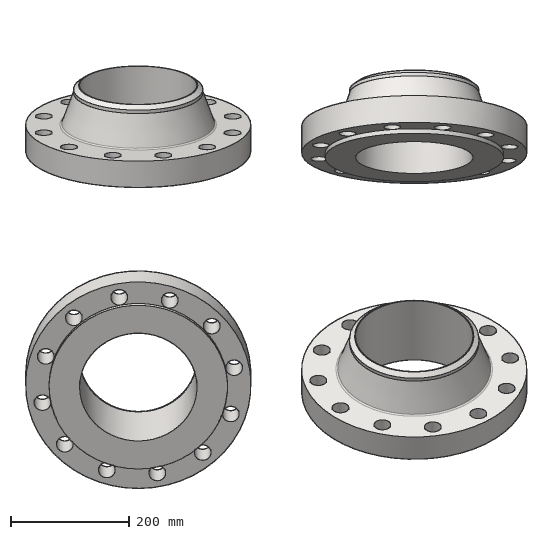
import cadquery as cq
import math

flange_diameter = 381.0
flange_thickness = 47.2
total_height = 125.5

face_diameter = 301.5
face_height = 8.0

hub_base_diameter = 260.0
hub_fillet_radius = 3.0
neck_diameter = 219.0
neck_straight_height = 6.0

bore_diameter = 198.5
land_width = 1.5
bevel_angle = 37.5

bolt_count = 12
bolt_circle_diameter = 330.2
bolt_hole_diameter = 28.0

flange_radius = flange_diameter / 2
face_radius = face_diameter / 2
hub_base_radius = hub_base_diameter / 2
neck_radius = neck_diameter / 2
bore_radius = bore_diameter / 2
land_radius = bore_radius + land_width
bevel_height = (neck_radius - land_radius) * math.tan(math.radians(bevel_angle))
flange_top = face_height + flange_thickness
bevel_bottom = total_height - bevel_height
taper_top = bevel_bottom - neck_straight_height


def make_fillet_points():
    """Return the start, middle and end of the fillet arc between flange top and hub taper."""
    lean = math.atan2(hub_base_radius - neck_radius, taper_top - flange_top)
    corner_half_angle = (math.pi / 2 + lean) / 2
    tangent_length = hub_fillet_radius / math.tan(corner_half_angle)
    center_r = hub_base_radius + tangent_length
    center_z = flange_top + hub_fillet_radius
    start = (center_r, flange_top)
    middle = (
        center_r - hub_fillet_radius * math.cos(corner_half_angle),
        center_z - hub_fillet_radius * math.sin(corner_half_angle),
    )
    end = (
        hub_base_radius - tangent_length * math.sin(lean),
        flange_top + tangent_length * math.cos(lean),
    )
    return start, middle, end


def make_body():
    """Revolve the half section, bore included, about the Z axis."""
    fillet_start, fillet_middle, fillet_end = make_fillet_points()
    section = (
        cq.Workplane("XZ")
        .moveTo(bore_radius, 0)
        .lineTo(face_radius, 0)
        .lineTo(face_radius, face_height)
        .lineTo(flange_radius, face_height)
        .lineTo(flange_radius, flange_top)
        .lineTo(*fillet_start)
        .threePointArc(fillet_middle, fillet_end)
        .lineTo(neck_radius, taper_top)
        .lineTo(neck_radius, bevel_bottom)
        .lineTo(land_radius, total_height)
        .lineTo(bore_radius, total_height)
        .close()
    )
    return section.revolve(360, (0, 0, 0), (0, 1, 0))


def make_bolt_holes():
    """Cutters for the bolt circle, the first hole on the +X axis."""
    return (
        cq.Workplane("XY")
        .polarArray(bolt_circle_diameter / 2, 0, 360, bolt_count)
        .circle(bolt_hole_diameter / 2)
        .extrude(flange_top)
    )


result = make_body().cut(make_bolt_holes())